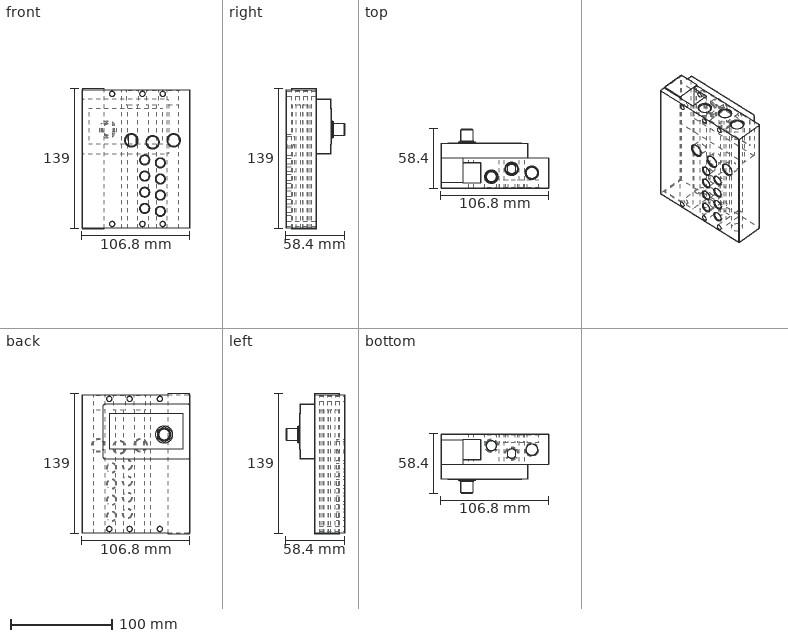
import cadquery as cq

body_width = 106.8
body_depth = 30.0
body_height = 136.6
body_edge_chamfer = 0.5

strip_left = 0.5
strip_right = 22.0
strip_front = 5.5
top_strip_height = 1.4
bottom_strip_height = 1.0
body_bottom = bottom_strip_height
body_top = body_bottom + body_height

channel_left = strip_right
channel_width = 17.1
channel_front = 5.4
channel_depth = 19.7

box_width = 85.9
box_depth = 14.5
box_bottom = 74.2
box_height = 54.2
box_corner_radius = 2.0
box_back = body_depth + box_depth

lid_left = 7.0
lid_right = 79.5
lid_bottom = 84.0
lid_height = 35.2
lid_thickness = 0.5

connector_x = 25.6
connector_z = 98.4
flange_radius = 8.5
flange_thickness = 1.0
collar_flat_width = 13.3
collar_thickness = 1.0
plug_radius = 6.1
plug_chamfer_length = 1.0
plug_chamfer_inset = 0.8
overall_depth = 58.4

screw_radius = 2.5
screw_columns = [29.7, 59.8, 79.8]
screw_edge_distance = 4.0

port_radius = 5.8
port_mouth_radius = 6.7
outlet_radius = 4.3
outlet_mouth_radius = 5.0
front_port_depth = 8.3
end_port_depth = 15.0

supply_ports = [(48.8, 87.7), (69.8, 85.8), (90.6, 87.7)]

outlet_columns = [(62.0, 68.4), (77.4, 65.5)]
outlets_per_column = 4
outlet_pitch = 16.0

round_galleries = [(49.8, 11.4, 4.9), (89.8, 15.3, 5.5)]
flat_gallery = (69.8, 19.2, 4.6)
flat_gallery_width = 7.6


def block(x_min, y_min, z_min, width, depth, height):
    """Box placed by its lowest corner."""
    return cq.Workplane("XY").box(width, depth, height, centered=False).translate((x_min, y_min, z_min))


def disc(x, z, y_start, radius, length):
    """Cylinder along Y that starts at y_start and grows towards the back."""
    return cq.Workplane("XZ", origin=(x, y_start, z)).circle(radius).extrude(-length)


def port_tool(radius, mouth_radius, depth):
    """Blind port with a 45 degree mouth, opening at the origin and running along +Z."""
    lead = mouth_radius - radius
    profile = [(0, 0), (mouth_radius, 0), (radius, lead), (radius, depth), (0, depth)]
    return cq.Workplane("XZ").polyline(profile).close().revolve(360, (0, 0, 0), (0, 1, 0))


def front_port(x, z, radius, mouth_radius):
    tool = port_tool(radius, mouth_radius, front_port_depth)
    return tool.rotate((0, 0, 0), (1, 0, 0), -90).translate((x, 0, z))


def gallery_bore(x, y, radius):
    """Round bore through the full height of the body."""
    return cq.Workplane("XY", origin=(x, y, body_bottom)).circle(radius).extrude(body_height)


def end_port(x, y):
    """Port in the upper end of the body."""
    tool = port_tool(port_radius, port_mouth_radius, end_port_depth)
    return tool.rotate((0, 0, 0), (1, 0, 0), 180).translate((x, y, body_top))


result = block(0, 0, body_bottom, body_width, body_depth, body_height)
result = result.edges("|Z").chamfer(body_edge_chamfer)
strip_width = strip_right - strip_left
strip_depth = body_depth - strip_front
result = result.union(block(strip_left, strip_front, body_top, strip_width, strip_depth, top_strip_height))
result = result.union(block(strip_left, strip_front, 0, strip_width, strip_depth, bottom_strip_height))

control_box = block(0, body_depth, box_bottom, box_width, box_depth, box_height)
control_box = control_box.edges("|Y").fillet(box_corner_radius)
result = result.union(control_box)
result = result.union(block(lid_left, box_back, lid_bottom, lid_right - lid_left, lid_thickness, lid_height))

flange_start = box_back + lid_thickness
collar_start = flange_start + flange_thickness
plug_start = collar_start + collar_thickness
result = result.union(disc(connector_x, connector_z, flange_start, flange_radius, flange_thickness))
collar = cq.Workplane("XZ").polygon(6, collar_flat_width, circumscribed=True).extrude(-collar_thickness)
result = result.union(collar.translate((connector_x, collar_start, connector_z)))
plug_length = overall_depth - plug_start
plug_profile = [
    (0, 0),
    (plug_radius, 0),
    (plug_radius, plug_length - plug_chamfer_length),
    (plug_radius - plug_chamfer_inset, plug_length),
    (0, plug_length),
]
plug = cq.Workplane("XY").polyline(plug_profile).close().revolve(360, (0, 0, 0), (0, 1, 0))
result = result.union(plug.translate((connector_x, plug_start, connector_z)))

result = result.cut(block(channel_left, channel_front, body_bottom, channel_width, channel_depth, body_height))
for x, y, radius in round_galleries:
    result = result.cut(gallery_bore(x, y, radius)).cut(end_port(x, y))
flat_x, flat_y, flat_radius = flat_gallery
flat_left = flat_x - flat_gallery_width / 2
flats = block(flat_left, 0, body_bottom, flat_gallery_width, body_depth, body_height)
flat_bore = gallery_bore(flat_x, flat_y, flat_radius).intersect(flats)
result = result.cut(flat_bore).cut(end_port(flat_x, flat_y))

for x, z in supply_ports:
    result = result.cut(front_port(x, z, port_radius, port_mouth_radius))
for x, top_z in outlet_columns:
    for row in range(outlets_per_column):
        result = result.cut(front_port(x, top_z - row * outlet_pitch, outlet_radius, outlet_mouth_radius))

for x in screw_columns:
    for z in (body_bottom + screw_edge_distance, body_top - screw_edge_distance):
        result = result.cut(disc(x, z, 0, screw_radius, body_depth))